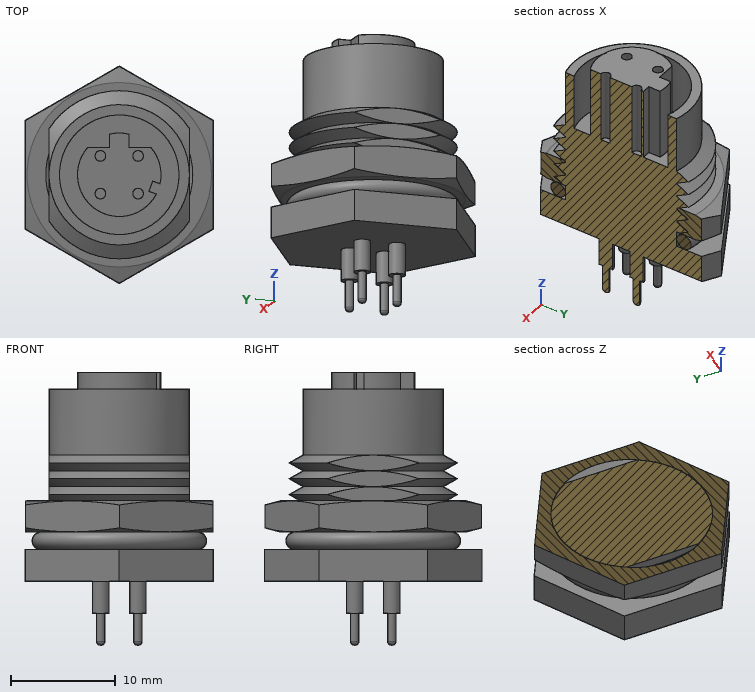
import cadquery as cq
import math

PIN_SHOULDER_Z = 3.05
FLANGE_BOTTOM_Z = 6.1
FLANGE_TOP_Z = 9.15
RING_THICKNESS = 1.65
NUT_THICKNESS = 3.02
NUT_BOTTOM_Z = FLANGE_TOP_Z + RING_THICKNESS
NUT_TOP_Z = NUT_BOTTOM_Z + NUT_THICKNESS
THREAD_TOP_Z = 18.17
CUP_TOP_Z = 24.45
INSERT_TOP_Z = 26.07

HEX_HALF_SECTOR = 30.0
FLANGE_ACROSS_FLATS = 18.0
NUT_ACROSS_FLATS = 17.94
NUT_FACE_RADIUS = 8.8
NUT_CHAMFER_DROP = 0.42

BARREL_RADIUS = 6.7
THREAD_RADIUS = 8.03
THREAD_PITCH = 1.5
BARREL_FLATS_WIDTH = 13.45

CUP_BORE_RADIUS = 5.7
CUP_FLOOR_Z = THREAD_TOP_Z
INSERT_RADIUS = 4.0
INSERT_FLAT_Y = 2.6
KEY_WIDTH = 1.82
NOTCH_WIDTH = 1.05
NOTCH_FLOOR_RADIUS = 3.2
NOTCH_ANGLE = -20.0

SOCKET_SPACING = 3.6
PIN_SPACING = 3.55
SOCKET_DIAMETER = 1.02
PIN_DIAMETER = 1.6
PIN_TIP_DIAMETER = 0.8
PIN_TIP_FILLET = 0.36


def across_corners(across_flats):
    return across_flats / math.cos(math.radians(HEX_HALF_SECTOR))


def hexagon(across_flats, bottom_z, thickness):
    prism = cq.Workplane("XY").polygon(6, across_corners(across_flats)).extrude(thickness)
    return prism.rotate((0, 0, 0), (0, 0, 1), HEX_HALF_SECTOR).translate((0, 0, bottom_z))


def cylinder(radius, bottom_z, top_z):
    return cq.Workplane("XY").workplane(offset=bottom_z).circle(radius).extrude(top_z - bottom_z)


def at_contacts(spacing, bottom_z):
    """Workplane with its points on the square pattern of four contacts."""
    return cq.Workplane("XY").workplane(offset=bottom_z).rarray(spacing, spacing, 2, 2)


def threaded_rod():
    """Round rod with ring-shaped thread ridges, from the nut bottom to the thread top."""
    ridge_count = math.ceil((THREAD_TOP_Z - NUT_BOTTOM_Z) / THREAD_PITCH)
    profile = cq.Workplane("XZ").moveTo(0, THREAD_TOP_Z).lineTo(BARREL_RADIUS, THREAD_TOP_Z)
    for ridge in range(ridge_count):
        ridge_top_z = THREAD_TOP_Z - ridge * THREAD_PITCH
        profile = profile.lineTo(THREAD_RADIUS, ridge_top_z - THREAD_PITCH / 2)
        profile = profile.lineTo(BARREL_RADIUS, ridge_top_z - THREAD_PITCH)
    profile = profile.lineTo(0, THREAD_TOP_Z - ridge_count * THREAD_PITCH).close()
    rod = profile.revolve(360, (0, 0, 0), (0, 1, 0))
    return rod.intersect(cylinder(THREAD_RADIUS, NUT_BOTTOM_Z, THREAD_TOP_Z))


def contact_insert():
    """Round core with a flat side, a key standing on the flat, and a slanted coding notch."""
    height = INSERT_TOP_Z - CUP_FLOOR_Z
    core = cylinder(INSERT_RADIUS, CUP_FLOOR_Z, INSERT_TOP_Z)
    side_length = 2 * INSERT_RADIUS
    below_flat = cq.Workplane("XY").box(side_length, side_length, height, centered=(True, False, False))
    below_flat = below_flat.translate((0, INSERT_FLAT_Y - side_length, CUP_FLOOR_Z))
    key = cq.Workplane("XY").box(KEY_WIDTH, side_length, height, centered=(True, True, False))
    key = key.translate((0, 0, CUP_FLOOR_Z))
    notch = cq.Workplane("XY").box(INSERT_RADIUS, NOTCH_WIDTH, height, centered=(False, True, False))
    notch = notch.translate((NOTCH_FLOOR_RADIUS, 0, CUP_FLOOR_Z))
    notch = notch.rotate((0, 0, 0), (0, 0, 1), NOTCH_ANGLE)
    sockets = at_contacts(SOCKET_SPACING, CUP_FLOOR_Z).circle(SOCKET_DIAMETER / 2).extrude(height)
    return core.intersect(below_flat.union(key)).cut(notch).cut(sockets)


def solder_pins():
    """Four stepped pins with rounded tips, hanging from the flange."""
    shank_length = FLANGE_BOTTOM_Z - PIN_SHOULDER_Z
    shanks = at_contacts(PIN_SPACING, PIN_SHOULDER_Z).circle(PIN_DIAMETER / 2).extrude(shank_length)
    tips = at_contacts(PIN_SPACING, 0).circle(PIN_TIP_DIAMETER / 2).extrude(PIN_SHOULDER_Z)
    return shanks.union(tips.faces("<Z").edges().fillet(PIN_TIP_FILLET))


def make_housing():
    """Flange, neck, flat-sided threaded barrel, cup with its contact insert, and the pins."""
    flange = hexagon(FLANGE_ACROSS_FLATS, FLANGE_BOTTOM_Z, FLANGE_TOP_Z - FLANGE_BOTTOM_Z)
    flats = cq.Workplane("XY").box(
        BARREL_FLATS_WIDTH, 2 * THREAD_RADIUS, INSERT_TOP_Z, centered=(True, True, False)
    )
    thread = threaded_rod().intersect(flats)
    neck = cylinder(BARREL_RADIUS, FLANGE_TOP_Z, NUT_BOTTOM_Z)
    cup = cylinder(BARREL_RADIUS, THREAD_TOP_Z, CUP_TOP_Z)
    cup = cup.cut(cylinder(CUP_BORE_RADIUS, CUP_FLOOR_Z, CUP_TOP_Z))
    return flange.union(neck).union(thread).union(cup).union(contact_insert()).union(solder_pins())


def make_nut():
    """Hexagon nut with conical corner chamfers at both ends, threaded to match the barrel."""
    blank = hexagon(NUT_ACROSS_FLATS, NUT_BOTTOM_Z, NUT_THICKNESS)
    corner_radius = across_corners(NUT_ACROSS_FLATS) / 2
    envelope = (
        cq.Workplane("XZ")
        .moveTo(0, NUT_BOTTOM_Z)
        .lineTo(NUT_FACE_RADIUS, NUT_BOTTOM_Z)
        .lineTo(corner_radius, NUT_BOTTOM_Z + NUT_CHAMFER_DROP)
        .lineTo(corner_radius, NUT_TOP_Z - NUT_CHAMFER_DROP)
        .lineTo(NUT_FACE_RADIUS, NUT_TOP_Z)
        .lineTo(0, NUT_TOP_Z)
        .close()
        .revolve(360, (0, 0, 0), (0, 1, 0))
    )
    return blank.intersect(envelope).cut(threaded_rod())


def make_sealing_ring():
    """O-ring around the neck, between flange and nut."""
    section_radius = RING_THICKNESS / 2
    ring_center = cq.Vector(0, 0, FLANGE_TOP_Z + section_radius)
    return cq.Workplane(cq.Solid.makeTorus(BARREL_RADIUS + section_radius, section_radius, ring_center))


housing = make_housing()
nut = make_nut()
sealing_ring = make_sealing_ring()

result = cq.Compound.makeCompound([housing.val(), nut.val(), sealing_ring.val()])